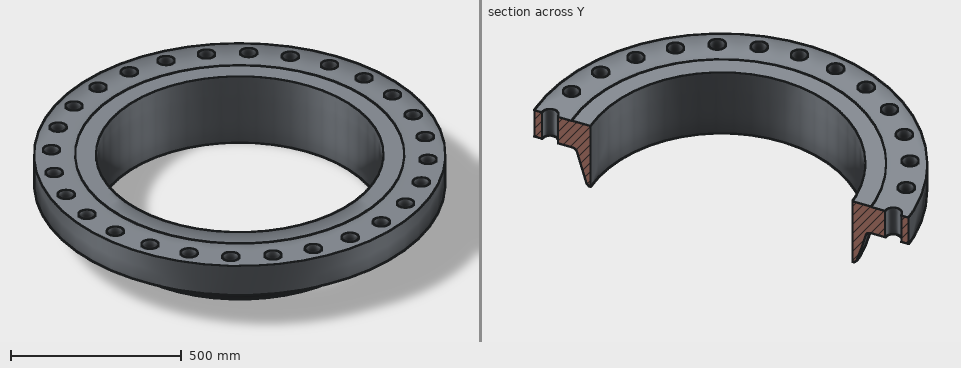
import cadquery as cq
import math

flange_diameter = 1206.0
total_height = 232.0
bore_diameter = 843.0
raised_face_diameter = 965.0
raised_face_height = 1.0
flange_thickness = 103.0

hub_top_diameter = 939.0
hub_end_diameter = 871.0
hub_fillet = 16.0
bevel_size = 8.0

bolt_count = 28
bolt_circle_diameter = 1105.0
bolt_hole_diameter = 51.0

bore_radius = bore_diameter / 2
hub_top_radius = hub_top_diameter / 2
flange_bottom = total_height - flange_thickness
rim_top = total_height - raised_face_height


def make_body():
    """Revolve the half section; the hub end lies on Z = 0."""
    return (
        cq.Workplane("XZ")
        .moveTo(bore_radius, 0)
        .lineTo(hub_end_diameter / 2 - bevel_size, 0)
        .lineTo(hub_end_diameter / 2, bevel_size)
        .lineTo(hub_top_radius, flange_bottom)
        .lineTo(flange_diameter / 2, flange_bottom)
        .lineTo(flange_diameter / 2, rim_top)
        .lineTo(raised_face_diameter / 2, rim_top)
        .lineTo(raised_face_diameter / 2, total_height)
        .lineTo(bore_radius, total_height)
        .close()
        .revolve(360, (0, 0, 0), (0, 1, 0))
    )


def fillet_hub_root(body):
    """Round the inside corner between the hub and the flange underside."""
    selection_margin = 1.0
    half_width = hub_top_radius + selection_margin
    root = cq.selectors.BoxSelector(
        (-half_width, -half_width, flange_bottom - selection_margin),
        (half_width, half_width, flange_bottom + selection_margin),
        boundingbox=True,
    )
    return body.edges(root).fillet(hub_fillet)


def make_bolt_holes():
    return (
        cq.Workplane("XY")
        .polarArray(bolt_circle_diameter / 2, 0, 360, bolt_count)
        .circle(bolt_hole_diameter / 2)
        .extrude(total_height)
    )


result = fillet_hub_root(make_body()).cut(make_bolt_holes())